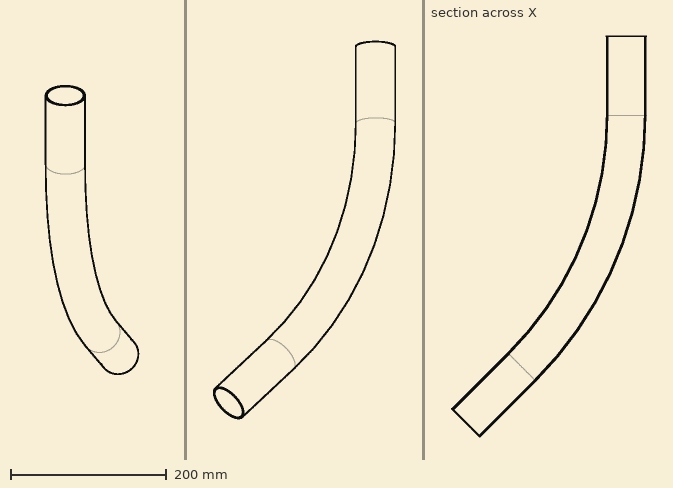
import cadquery as cq
import math

total_height = 514.5
outer_diameter = 51.0
inner_diameter = 47.0
leg_length = 101.5
bend_angle = 45.0

sin_bend = math.sin(math.radians(bend_angle))
cos_bend = math.cos(math.radians(bend_angle))

rim_drop = outer_diameter / 2 * sin_bend
bend_radius = (total_height - leg_length * (1 + cos_bend) - rim_drop) / sin_bend


def annulus(workplane):
    """Draw the tube's ring-shaped cross-section."""
    return workplane.circle(outer_diameter / 2).circle(inner_diameter / 2)


upper_leg = annulus(cq.Workplane("XY")).extrude(leg_length)
bend = annulus(cq.Workplane("XY")).revolve(
    bend_angle, (0, bend_radius, 0), (1, bend_radius, 0)
)

bend_end = (0, bend_radius * (1 - cos_bend), -bend_radius * sin_bend)
lower_plane = cq.Plane(origin=bend_end, xDir=(1, 0, 0), normal=(0, sin_bend, -cos_bend))
lower_leg = annulus(cq.Workplane(lower_plane)).extrude(leg_length)

result = upper_leg.union(bend).union(lower_leg)